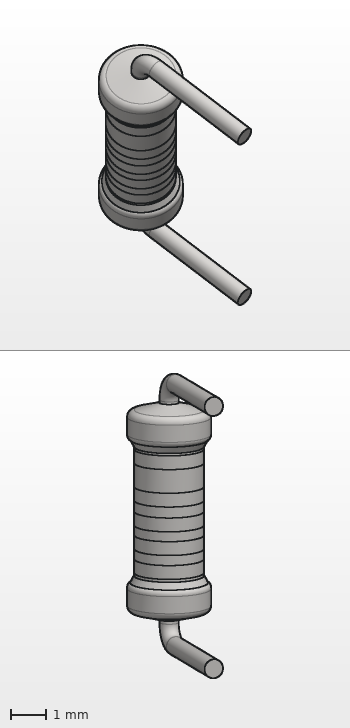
import cadquery as cq
import math

OVERALL_LENGTH = 8.17
WIRE_DIAMETER = 0.555
BEND_RADIUS = 0.58
LEAD_REACH = 4.08

CAP_RADIUS = 1.2
BARREL_RADIUS = 1.001
BODY_HALF_LENGTH = 3.145
CAP_RIM_OUTER = 2.74
CAP_RIM_INNER = 2.24
FLARE_TOP = 2.075
FLARE_TOP_RADIUS = 1.11
FLARE_BOTTOM = 1.87
CONE_EDGE_RADIUS = 1.0
CONE_EDGE_HEIGHT = 2.95
SHOULDER_BULGE = 0.06

BAND_WIDTH = 0.4
BAND_DEPTH = 0.05
BAND_CENTERS = (1.6, 0.515, -0.205, -0.89, -1.585)

wire_radius = WIRE_DIAMETER / 2
lead_height = OVERALL_LENGTH / 2 - wire_radius
bend_start = lead_height - BEND_RADIUS
bend_mid_offset = BEND_RADIUS * math.sqrt(0.5)


def make_wire():
    """C-shaped wire: a straight core, two quarter bends and two parallel leads."""
    path = (
        cq.Workplane("XZ")
        .moveTo(LEAD_REACH, -lead_height)
        .lineTo(BEND_RADIUS, -lead_height)
        .threePointArc(
            (BEND_RADIUS - bend_mid_offset, -bend_start - bend_mid_offset),
            (0, -bend_start),
        )
        .lineTo(0, bend_start)
        .threePointArc(
            (BEND_RADIUS - bend_mid_offset, bend_start + bend_mid_offset),
            (BEND_RADIUS, lead_height),
        )
        .lineTo(LEAD_REACH, lead_height)
    )
    return (
        cq.Workplane("YZ", origin=(LEAD_REACH, 0, -lead_height))
        .circle(wire_radius)
        .sweep(path)
    )


def arc_middle(start, end, bulge):
    """Middle point of a shallow arc that bulges out by `bulge` from its chord."""
    run = end[0] - start[0]
    rise = end[1] - start[1]
    chord = math.hypot(run, rise)
    return (
        (start[0] + end[0]) / 2 + bulge * rise / chord,
        (start[1] + end[1]) / 2 - bulge * run / chord,
    )


def make_body_half():
    """Upper half of the body: barrel, flare, rounded cap and shallow cone around the wire."""
    flare_end = (FLARE_TOP_RADIUS, FLARE_TOP)
    rim_inner = (CAP_RADIUS, CAP_RIM_INNER)
    rim_outer = (CAP_RADIUS, CAP_RIM_OUTER)
    cone_edge = (CONE_EDGE_RADIUS, CONE_EDGE_HEIGHT)
    return (
        cq.Workplane("XZ")
        .moveTo(wire_radius, 0)
        .lineTo(BARREL_RADIUS, 0)
        .lineTo(BARREL_RADIUS, FLARE_BOTTOM)
        .lineTo(*flare_end)
        .threePointArc(arc_middle(flare_end, rim_inner, SHOULDER_BULGE / 2), rim_inner)
        .lineTo(*rim_outer)
        .threePointArc(arc_middle(rim_outer, cone_edge, SHOULDER_BULGE), cone_edge)
        .lineTo(wire_radius, BODY_HALF_LENGTH)
        .close()
        .revolve(360, (0, 0, 0), (0, 1, 0))
    )


def make_band(center_height):
    """Thin ring whose outside is flush with the barrel."""
    return (
        cq.Workplane("XY", origin=(0, 0, center_height - BAND_WIDTH / 2))
        .circle(BARREL_RADIUS)
        .circle(BARREL_RADIUS - BAND_DEPTH)
        .extrude(BAND_WIDTH)
    )


def make_body(bands):
    """Both mirrored halves joined, with a groove cut for every band."""
    upper_half = make_body_half()
    body = upper_half.union(upper_half.mirror("XY")).clean()
    for band in bands:
        body = body.cut(band)
    return body


wire = make_wire()
bands = [make_band(height) for height in BAND_CENTERS]
body = make_body(bands)

result = cq.Compound.makeCompound([body.val(), wire.val(), *[band.val() for band in bands]])